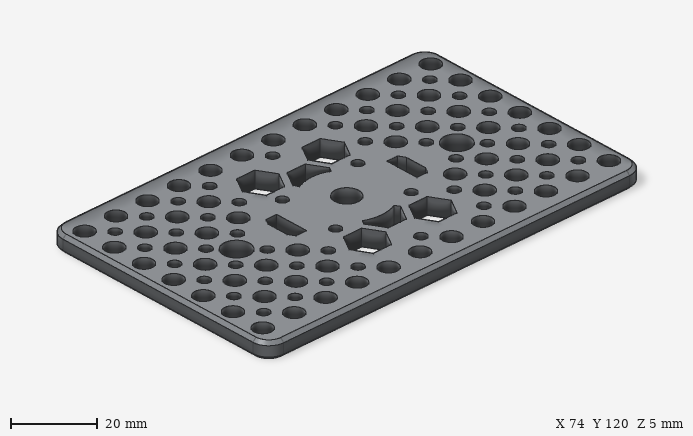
import cadquery as cq
import math

length = 120.0
width = 74.0
thickness = 5.0
corner_radius = 5.0
edge_chamfer = 1.0

row_count = 12
column_count = 7
outer_column = (column_count - 1) / 2
outer_row = (row_count - 1) / 2
pitch = length / row_count
grid_hole_diameter = 5.4
between_hole_diameter = 3.4
large_hole_diameter = 8.0
large_hole_y = 3.5 * pitch

shaft_hole_diameter = 7.5
screw_hole_diameter = 3.2
screw_x = 9.0
screw_y = 12.0

hex_across_flats = 10.1
hex_corner_radius = hex_across_flats / math.sqrt(3)
hex_x = 18.0
hex_y = hex_x / math.sqrt(3)
side_hex_x = 12.0
end_hex_y = 18.0
motor_disc_radius = 11.8
end_window_inner_y = 17.5
end_window_outer_y = 22.0


def mirrored(x, y):
    """Four points mirrored about both centre lines."""
    return [(sx * x, sy * y) for sx in (1, -1) for sy in (1, -1)]


def cylinders(points, diameter):
    return cq.Workplane("XY").pushPoints(points).circle(diameter / 2).extrude(thickness)


def hex_prisms(points):
    """Hexagonal prisms with two flats parallel to the YZ plane."""
    corner_angles = [math.radians(30 + 60 * i) for i in range(6)]
    corners = [(hex_corner_radius * math.cos(a), hex_corner_radius * math.sin(a)) for a in corner_angles]
    hexagon = cq.Workplane("XY").polyline(corners).close().extrude(thickness).val()
    return cq.Workplane("XY").pushPoints(points).eachpoint(lambda location: hexagon.moved(location))


def make_plate():
    plate = cq.Workplane("XY").rect(width, length).extrude(thickness)
    plate = plate.edges("|Z").fillet(corner_radius)
    return plate.faces("<Z or >Z").chamfer(edge_chamfer)


def grid_points():
    """Main grid, left open in the middle for the motor mount and the two large holes."""
    points = []
    for i in range(column_count):
        column = i - outer_column
        if abs(column) == outer_column:
            first_row = 0.5
        elif column == 0:
            first_row = 4.5
        else:
            first_row = 2.5
        for j in range(row_count):
            row = j - outer_row
            if abs(row) >= first_row:
                points.append((column * pitch, row * pitch))
    return points


def between_points():
    """Small holes midway between the main grid holes."""
    points = []
    for column in (0.5, 1.5, 2.5):
        first_row = 3 if column == 0.5 else 2
        for row in range(first_row, row_count // 2):
            points += mirrored(column * pitch, row * pitch)
    lone_hole_x = 2.5 * pitch
    return points + [(-lone_hole_x, 0), (lone_hole_x, 0)]


def side_windows():
    """Hexagons trimmed by the round motor disc."""
    hexagons = hex_prisms([(-side_hex_x, 0), (side_hex_x, 0)])
    return hexagons.cut(cylinders([(0, 0)], 2 * motor_disc_radius))


def end_windows():
    """Hexagons trimmed to straight bands at both ends of the motor mount."""
    band_y = (end_window_inner_y + end_window_outer_y) / 2
    bands = (
        cq.Workplane("XY")
        .pushPoints([(0, -band_y), (0, band_y)])
        .rect(hex_across_flats, end_window_outer_y - end_window_inner_y)
        .extrude(thickness)
    )
    return hex_prisms([(0, -end_hex_y), (0, end_hex_y)]).intersect(bands)


result = (
    make_plate()
    .cut(cylinders(grid_points(), grid_hole_diameter))
    .cut(cylinders(between_points(), between_hole_diameter))
    .cut(cylinders([(0, -large_hole_y), (0, large_hole_y)], large_hole_diameter))
    .cut(cylinders([(0, 0)], shaft_hole_diameter))
    .cut(cylinders(mirrored(screw_x, screw_y), screw_hole_diameter))
    .cut(hex_prisms(mirrored(hex_x, hex_y)))
    .cut(side_windows())
    .cut(end_windows())
)